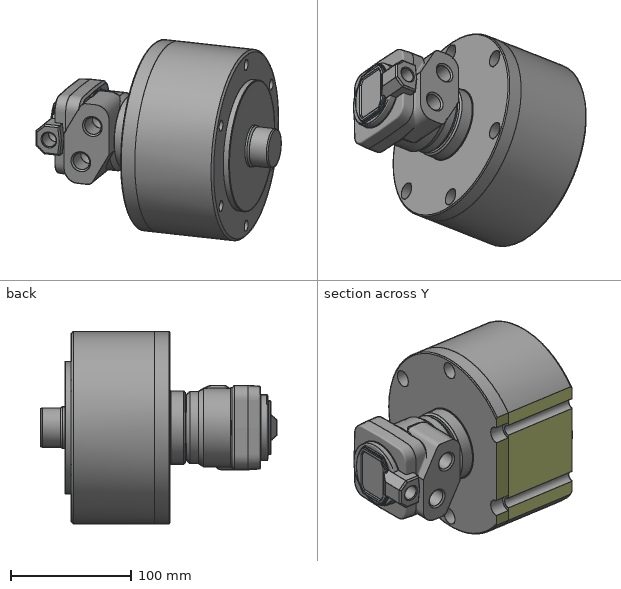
import cadquery as cq
import math


CYLINDER_RADIUS = 80.0
CYLINDER_EDGE_CHAMFER = 1.8
REAR_EDGE_CHAMFER = 1.0
REAR_COVER_THICKNESS = 13.0
CYLINDER_FRONT_X = 82.1
PILOT_RADIUS = 55.0
PILOT_FRONT_X = 87.5
PILOT_CHAMFER = 0.5

BOLT_COUNT = 6
BOLT_CIRCLE_RADIUS = 70.0
BOLT_HOLE_RADIUS = 4.5
BOLT_HEAD_RADIUS = 7.0

HUB_RADIUS = 30.5
HUB_REAR_X = -12.7
HUB_CHAMFER = 1.5
HUB_BASE_FLARE = 0.5
NECK_RADIUS = 13.0

ROD_RADIUS = 16.5
ROD_COLLAR_RADIUS = 17.5
ROD_COLLAR_LENGTH = 1.8
ROD_COLLAR_TAPER_LENGTH = 1.8
ROD_END_X = 107.5
ROD_END_CHAMFER_LENGTH = 1.4
ROD_END_CHAMFER_DEPTH = 0.5

PARTING_X = -64.9
BLOCK_FRONT_X = -53.5
BLOCK_CHAMFER = 2.0
BARREL_RADIUS = 32.7
BARREL_BASE_FLARE = 1.2
BARREL_FRONT_X = -27.8
BARREL_TAPER_END_X = -23.5
COLLAR_RADIUS = 30.0
COLLAR_CHAMFER_LENGTH = 3.1
COLLAR_CHAMFER_DEPTH = 2.7
HOUSING_FRONT_X = -13.3

BLOCK_HALF_SIZE = 35.0
BLOCK_CROWN = 0.5
BLOCK_CORNER_START = 22.7

PORT_FACE_Y = -42.3
PAD_BACK_Y = 0.4
PAD_CENTER_X = -43.5
PAD_HALF_WIDTH = 19.8
PAD_KNEE_Z = 7.5
PAD_SLOPE_ANGLE = 60
PAD_CORNER_RADIUS = 11.8
PAD_BLEND_RADIUS = 5.5
PAD_BACK_CHAMFER_LENGTH = 4.9
PAD_BACK_CHAMFER_DEPTH = 2.7
PAD_BASE_FILLET = 1.2

PORT_OFFSET_X = 5.0
PORT_OFFSET_Z = 15.9
PORT_RADIUS = 7.3
PORT_MOUTH_RADIUS = 8.6
PORT_DEPTH = 19.6
DRILL_TIP_ANGLE = 118

COVER_FACE_X = -75.0
COVER_DRAFT_ANGLE = 4
COVER_EDGE_FILLET = 1.4
DISC_RADIUS = 27.5
DISC_FACE_X = -81.1
DISC_EDGE_FILLET = 1.2
DISC_BASE_FLARE = 0.4

BOSS_FACE_X = -83.9
BOSS_HALF_HEIGHT = 23.1
BOSS_FLAT_HALF_WIDTH = 12.0
BOSS_HALF_WIDTH = 21.5
BOSS_BASE_FLARE = 0.8
BOSS_EDGE_CHAMFER = 0.8

PANEL_HALF_HEIGHT = 19.2
PANEL_HALF_WIDTH = 14.3
PANEL_CORNER_HEIGHT = 4.7
PANEL_CORNER_WIDTH = 3.0
PANEL_DEPTH = 1.0
PANEL_WALL_ANGLE = 45
FLARE_ANGLE = 45

DRAIN_REAR_X = -88.5
DRAIN_HALF_HEIGHT = 13.0
DRAIN_NOSE_HALF_HEIGHT = 6.5
DRAIN_SHOULDER_X = -81.3
DRAIN_FRONT_X = -67.8
DRAIN_FRONT_RIDGE_X = -66.2
DRAIN_BACK_Y = -9.8
DRAIN_SLOPE_TOP_Y = -23.3
DRAIN_SLOPE_FOOT_Y = -15.7
DRAIN_EDGE_CHAMFER = 1.4
DRAIN_PORT_X = -76.8
DRAIN_PORT_RADIUS = 6.0
DRAIN_PORT_MOUTH_RADIUS = 6.9
DRAIN_PORT_DEPTH = 15.7


def turned(profile):
    """Solid of revolution about X from (x, radius) points; the axis closes the outline."""
    first_x = profile[0][0]
    last_x = profile[-1][0]
    outline = [(first_x, 0), *profile, (last_x, 0)]
    return cq.Workplane("XY").polyline(outline).close().revolve(360, (0, 0, 0), (1, 0, 0))


def bolt_pattern(radius, start_x, length):
    """Cylinders along X on the bolt circle, one of them straight above the axis."""
    return (
        cq.Workplane("YZ", origin=(start_x, 0, 0))
        .polarArray(BOLT_CIRCLE_RADIUS, 90, 360, BOLT_COUNT)
        .circle(radius)
        .extrude(length)
    )


def rear_plane(x):
    """Workplane across the axis whose normal points to -X; its local x is -Y."""
    return cq.Workplane(cq.Plane(origin=(x, 0, 0), xDir=(0, -1, 0), normal=(-1, 0, 0)))


def crowned_square(plane):
    """Square with rounded corners whose four sides rise slightly to their middle."""
    half = BLOCK_HALF_SIZE
    start = BLOCK_CORNER_START
    shoulder = half - BLOCK_CROWN
    radius = shoulder - start
    return (
        plane.moveTo(half, 0)
        .lineTo(shoulder, start)
        .radiusArc((start, shoulder), -radius)
        .lineTo(0, half)
        .lineTo(-start, shoulder)
        .radiusArc((-shoulder, start), -radius)
        .lineTo(-half, 0)
        .lineTo(-shoulder, -start)
        .radiusArc((-start, -shoulder), -radius)
        .lineTo(0, -half)
        .lineTo(start, -shoulder)
        .radiusArc((shoulder, -start), -radius)
        .close()
    )


def drilled_port(x, z, radius, mouth_radius, depth):
    """Tool for a blind port drilled toward +Y from the port face: chamfered mouth, conical tip."""
    mouth_depth = mouth_radius - radius
    tip_length = radius / math.tan(math.radians(DRILL_TIP_ANGLE / 2))
    outline = [
        (0, 0),
        (mouth_radius, 0),
        (radius, mouth_depth),
        (radius, depth),
        (0, depth + tip_length),
    ]
    return (
        cq.Workplane("XY")
        .polyline(outline)
        .close()
        .revolve(360, (0, 0, 0), (0, 1, 0))
        .translate((x, PORT_FACE_Y, z))
    )


def make_cylinder():
    body = turned([
        (REAR_COVER_THICKNESS, CYLINDER_RADIUS),
        (CYLINDER_FRONT_X - CYLINDER_EDGE_CHAMFER, CYLINDER_RADIUS),
        (CYLINDER_FRONT_X, CYLINDER_RADIUS - CYLINDER_EDGE_CHAMFER),
        (CYLINDER_FRONT_X, PILOT_RADIUS),
        (PILOT_FRONT_X - PILOT_CHAMFER, PILOT_RADIUS),
        (PILOT_FRONT_X, PILOT_RADIUS - PILOT_CHAMFER),
    ])
    length = CYLINDER_FRONT_X - REAR_COVER_THICKNESS
    return body.cut(bolt_pattern(BOLT_HOLE_RADIUS, REAR_COVER_THICKNESS, length))


def make_rear_cover():
    """Disc closing the cylinder, with the hub and the neck that reaches the distributor."""
    body = turned([
        (HOUSING_FRONT_X, NECK_RADIUS),
        (HUB_REAR_X, NECK_RADIUS),
        (HUB_REAR_X, HUB_RADIUS - HUB_CHAMFER),
        (HUB_REAR_X + HUB_CHAMFER, HUB_RADIUS),
        (-HUB_BASE_FLARE, HUB_RADIUS),
        (0, HUB_RADIUS + HUB_BASE_FLARE),
        (0, CYLINDER_RADIUS - REAR_EDGE_CHAMFER),
        (REAR_EDGE_CHAMFER, CYLINDER_RADIUS),
        (REAR_COVER_THICKNESS, CYLINDER_RADIUS),
    ])
    return body.cut(bolt_pattern(BOLT_HEAD_RADIUS, 0, REAR_COVER_THICKNESS))


def make_rod():
    collar_end = PILOT_FRONT_X + ROD_COLLAR_LENGTH
    return turned([
        (PILOT_FRONT_X, ROD_COLLAR_RADIUS),
        (collar_end, ROD_COLLAR_RADIUS),
        (collar_end + ROD_COLLAR_TAPER_LENGTH, ROD_RADIUS),
        (ROD_END_X - ROD_END_CHAMFER_LENGTH, ROD_RADIUS),
        (ROD_END_X, ROD_RADIUS - ROD_END_CHAMFER_DEPTH),
    ])


def port_pad():
    """Pad with the outline of a slanted hexagon; half a turn about its centre maps it to itself."""
    half_height = BLOCK_HALF_SIZE
    slope_run = (half_height - PAD_KNEE_Z) / math.tan(math.radians(PAD_SLOPE_ANGLE))
    slope_top_x = slope_run - PAD_HALF_WIDTH
    outline = [
        (-PAD_HALF_WIDTH, PAD_KNEE_Z),
        (slope_top_x, half_height),
        (PAD_HALF_WIDTH, half_height),
        (PAD_HALF_WIDTH, -PAD_KNEE_Z),
        (-slope_top_x, -half_height),
        (-PAD_HALF_WIDTH, -half_height),
    ]
    pad = (
        cq.Workplane("XZ", origin=(PAD_CENTER_X, PAD_BACK_Y, 0))
        .polyline(outline)
        .close()
        .extrude(PAD_BACK_Y - PORT_FACE_Y)
    )
    for side in (-1, 1):
        corner = (PAD_CENTER_X + side * PAD_HALF_WIDTH, PORT_FACE_Y / 2, side * half_height)
        blend = (PAD_CENTER_X + side * slope_top_x, PORT_FACE_Y / 2, side * half_height)
        pad = pad.edges(cq.selectors.NearestToPointSelector(corner)).fillet(PAD_CORNER_RADIUS)
        pad = pad.edges(cq.selectors.NearestToPointSelector(blend)).fillet(PAD_BLEND_RADIUS)
    return pad.faces(">Y").chamfer(PAD_BACK_CHAMFER_DEPTH, PAD_BACK_CHAMFER_LENGTH)


def barrel_base_flare(block):
    """Small cone around the barrel's base, kept within the front face of the block."""
    base_x = BLOCK_FRONT_X + BLOCK_CHAMFER
    cone = turned([
        (base_x, BARREL_RADIUS + BARREL_BASE_FLARE),
        (base_x + BARREL_BASE_FLARE, BARREL_RADIUS),
    ])
    front_face = block.faces(">X").wires().toPending()
    return front_face.extrude(BARREL_BASE_FLARE, combine=False).intersect(cone)


def make_housing():
    block = crowned_square(cq.Workplane("YZ", origin=(PARTING_X, 0, 0)))
    block = block.extrude(BLOCK_FRONT_X + BLOCK_CHAMFER - PARTING_X)
    block = block.faces(">X").chamfer(BLOCK_CHAMFER)
    barrel = turned([
        (PARTING_X, BARREL_RADIUS),
        (BARREL_FRONT_X, BARREL_RADIUS),
        (BARREL_TAPER_END_X, COLLAR_RADIUS),
        (HOUSING_FRONT_X - COLLAR_CHAMFER_LENGTH, COLLAR_RADIUS),
        (HOUSING_FRONT_X, COLLAR_RADIUS - COLLAR_CHAMFER_DEPTH),
    ])
    body = block.union(port_pad())
    pad_left_x = PAD_CENTER_X - PAD_HALF_WIDTH
    pad_base = cq.selectors.BoxSelector(
        (pad_left_x - PAD_BASE_FILLET, -BLOCK_HALF_SIZE, -BLOCK_HALF_SIZE),
        (BLOCK_FRONT_X, -BLOCK_HALF_SIZE + 2 * BLOCK_CROWN, BLOCK_HALF_SIZE),
    )
    body = body.edges(pad_base).edges("not |X").fillet(PAD_BASE_FILLET)
    body = body.union(barrel).union(barrel_base_flare(block))
    for side in (-1, 1):
        body = body.cut(drilled_port(
            PAD_CENTER_X + side * PORT_OFFSET_X,
            side * PORT_OFFSET_Z,
            PORT_RADIUS,
            PORT_MOUTH_RADIUS,
            PORT_DEPTH,
        ))
    return body


def boss_outline(inset):
    """Boss section on the disc face: flat top and bottom, bowed sides, moved inward by the inset."""
    flat = BOSS_FLAT_HALF_WIDTH
    height = BOSS_HALF_HEIGHT - inset
    width = BOSS_HALF_WIDTH - inset
    return (
        rear_plane(DISC_FACE_X)
        .moveTo(-flat, height)
        .lineTo(flat, height)
        .threePointArc((width, 0), (flat, -height))
        .lineTo(-flat, -height)
        .threePointArc((-width, 0), (-flat, height))
        .close()
    )


def cover_boss():
    """Boss on the disc, chamfered on its outer edge and flared where it meets the disc."""
    boss = boss_outline(BOSS_BASE_FLARE).extrude(DISC_FACE_X - BOSS_FACE_X)
    boss = boss.faces("<X").chamfer(BOSS_EDGE_CHAMFER)
    flare = boss_outline(0).extrude(BOSS_BASE_FLARE, taper=FLARE_ANGLE)
    return boss.union(flare)


def panel_recess():
    corner_y = PANEL_HALF_WIDTH - PANEL_CORNER_WIDTH
    corner_z = PANEL_HALF_HEIGHT - PANEL_CORNER_HEIGHT
    outline = [
        (-PANEL_HALF_WIDTH, corner_z),
        (-corner_y, PANEL_HALF_HEIGHT),
        (corner_y, PANEL_HALF_HEIGHT),
        (PANEL_HALF_WIDTH, corner_z),
        (PANEL_HALF_WIDTH, -corner_z),
        (corner_y, -PANEL_HALF_HEIGHT),
        (-corner_y, -PANEL_HALF_HEIGHT),
        (-PANEL_HALF_WIDTH, -corner_z),
    ]
    return (
        cq.Workplane("YZ", origin=(BOSS_FACE_X, 0, 0))
        .polyline(outline)
        .close()
        .extrude(PANEL_DEPTH, taper=PANEL_WALL_ANGLE)
    )


def drain_block():
    outline = [
        (DRAIN_REAR_X, -DRAIN_NOSE_HALF_HEIGHT),
        (DRAIN_REAR_X, DRAIN_NOSE_HALF_HEIGHT),
        (DRAIN_SHOULDER_X, DRAIN_HALF_HEIGHT),
        (DRAIN_FRONT_X, DRAIN_HALF_HEIGHT),
        (DRAIN_FRONT_RIDGE_X, 0),
        (DRAIN_FRONT_X, -DRAIN_HALF_HEIGHT),
        (DRAIN_SHOULDER_X, -DRAIN_HALF_HEIGHT),
    ]
    block = (
        cq.Workplane("XZ", origin=(0, DRAIN_BACK_Y, 0))
        .polyline(outline)
        .close()
        .extrude(DRAIN_BACK_Y - PORT_FACE_Y)
    )
    block = block.faces("<Y").chamfer(DRAIN_EDGE_CHAMFER)
    slope = [
        (DRAIN_REAR_X, DRAIN_SLOPE_TOP_Y),
        (BOSS_FACE_X, DRAIN_SLOPE_FOOT_Y),
        (BOSS_FACE_X, DRAIN_BACK_Y),
        (DRAIN_REAR_X, DRAIN_BACK_Y),
    ]
    above_slope = cq.Workplane("XY").polyline(slope).close().extrude(DRAIN_HALF_HEIGHT, both=True)
    return block.cut(above_slope)


def make_end_cover():
    body = crowned_square(rear_plane(PARTING_X))
    body = body.extrude(PARTING_X - COVER_FACE_X, taper=COVER_DRAFT_ANGLE)
    body = body.faces("<X").edges().fillet(COVER_EDGE_FILLET)
    disc = turned([
        (DISC_FACE_X, DISC_RADIUS),
        (COVER_FACE_X - DISC_BASE_FLARE, DISC_RADIUS),
        (COVER_FACE_X, DISC_RADIUS + DISC_BASE_FLARE),
    ])
    disc = disc.faces("<X").edges().fillet(DISC_EDGE_FILLET)
    body = body.union(disc).union(cover_boss()).union(drain_block()).cut(panel_recess())
    return body.cut(drilled_port(
        DRAIN_PORT_X,
        0,
        DRAIN_PORT_RADIUS,
        DRAIN_PORT_MOUTH_RADIUS,
        DRAIN_PORT_DEPTH,
    ))


cylinder = make_cylinder()
rear_cover = make_rear_cover()
rod = make_rod()
housing = make_housing()
end_cover = make_end_cover()

result = cq.Compound.makeCompound([
    cylinder.val(),
    rear_cover.val(),
    rod.val(),
    housing.val(),
    end_cover.val(),
])